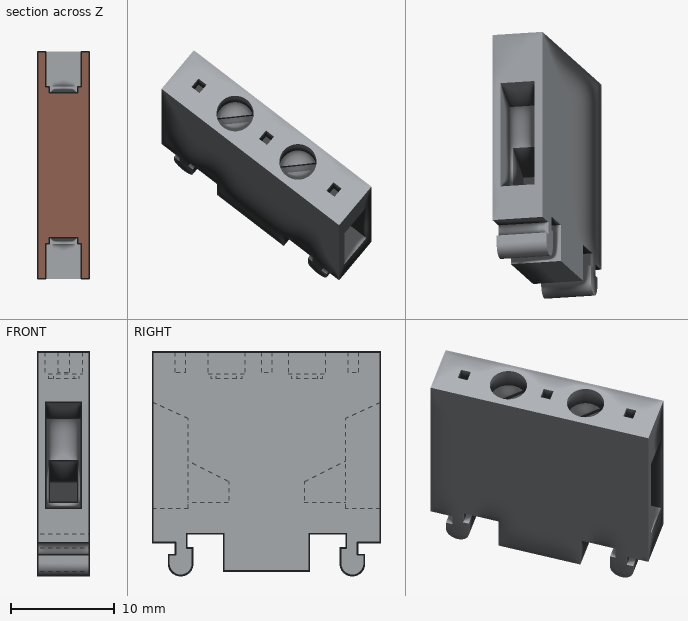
import cadquery as cq

width = 5.0
length = 22.0
height = 21.6
body_height = 18.41

notch_ceiling = -17.58
foot_half_length = 4.14
foot_bottom = -21.16
neck_inner = 7.7
neck_outer = 8.8
hook_center = 8.3
hook_radius = 1.17
hook_arc_start = hook_radius - height
inner_shoulder = -18.92
outer_shoulder = -19.58

entry_width = 3.4
entry_top = -4.85
entry_bottom = -15.11
entry_drop = 1.56
entry_depth = 3.4
contact_width = 2.75
contact_top = -10.52
contact_bottom = -14.52
contact_drop = (contact_top - contact_bottom) / 2
contact_depth = 3.95

screw_offset = 3.9
screw_diameter = 3.59
well_depth = 2.11
slot_width = 0.7
slot_depth = 0.45
slot_angle = -45
probe_pitch = 8.35
probe_size_x = 1.08
probe_size_y = 1.0
probe_depth = 1.98


def both_ends(shape):
    """Join a shape with its mirror image across the middle of the length."""
    return shape.union(shape.mirror("XZ"))


def extrude_across(profile, thickness):
    """Extrude a closed YZ profile by a thickness centred on X = 0."""
    return profile.extrude(thickness / 2, both=True)


def make_body():
    block = cq.Workplane("XY").box(width, length, -notch_ceiling, centered=(True, True, False))
    block = block.translate((0, 0, notch_ceiling))
    foot = cq.Workplane("XY").box(width, 2 * foot_half_length, -foot_bottom, centered=(True, True, False))
    foot = foot.translate((0, 0, foot_bottom))

    hook = (
        cq.Workplane("YZ")
        .moveTo(neck_inner, notch_ceiling)
        .lineTo(neck_inner, inner_shoulder)
        .lineTo(hook_center - hook_radius, inner_shoulder)
        .lineTo(hook_center - hook_radius, hook_arc_start)
        .threePointArc((hook_center, -height), (hook_center + hook_radius, hook_arc_start))
        .lineTo(hook_center + hook_radius, outer_shoulder)
        .lineTo(neck_outer, outer_shoulder)
        .lineTo(neck_outer, -body_height)
        .lineTo(length / 2, -body_height)
        .lineTo(length / 2, notch_ceiling)
        .close()
    )
    return block.union(foot).union(both_ends(extrude_across(hook, width)))


def sloped_pocket(mouth_y, depth, top, bottom, drop, pocket_width):
    """Pocket running toward +Y with a flat floor and a ceiling that falls by drop."""
    profile = (
        cq.Workplane("YZ")
        .moveTo(mouth_y, top)
        .lineTo(mouth_y + depth, top - drop)
        .lineTo(mouth_y + depth, bottom)
        .lineTo(mouth_y, bottom)
        .close()
    )
    return extrude_across(profile, pocket_width)


def make_wire_entries():
    mouth_y = -length / 2
    entry = sloped_pocket(mouth_y, entry_depth, entry_top, entry_bottom, entry_drop, entry_width)
    contact = sloped_pocket(
        mouth_y + entry_depth, contact_depth, contact_top, contact_bottom, contact_drop, contact_width
    )
    return both_ends(entry.union(contact))


def make_screw_well():
    """Round well with a driver slot sunk into the screw head at its floor."""
    well = cq.Workplane("XY").circle(screw_diameter / 2).extrude(-well_depth)
    slot_bottom = -well_depth - slot_depth
    slot_bar = (
        cq.Workplane("XY")
        .rect(screw_diameter, slot_width)
        .extrude(slot_bottom)
        .rotate((0, 0, 0), (0, 0, 1), slot_angle)
    )
    slot = cq.Workplane("XY").circle(screw_diameter / 2).extrude(slot_bottom).intersect(slot_bar)
    return well.union(slot)


def make_probe_holes():
    centers = [(0, -probe_pitch), (0, 0), (0, probe_pitch)]
    return cq.Workplane("XY").pushPoints(centers).rect(probe_size_x, probe_size_y).extrude(-probe_depth)


result = make_body().cut(make_wire_entries()).cut(make_probe_holes())
for screw_y in (-screw_offset, screw_offset):
    result = result.cut(make_screw_well().translate((0, screw_y, 0)))